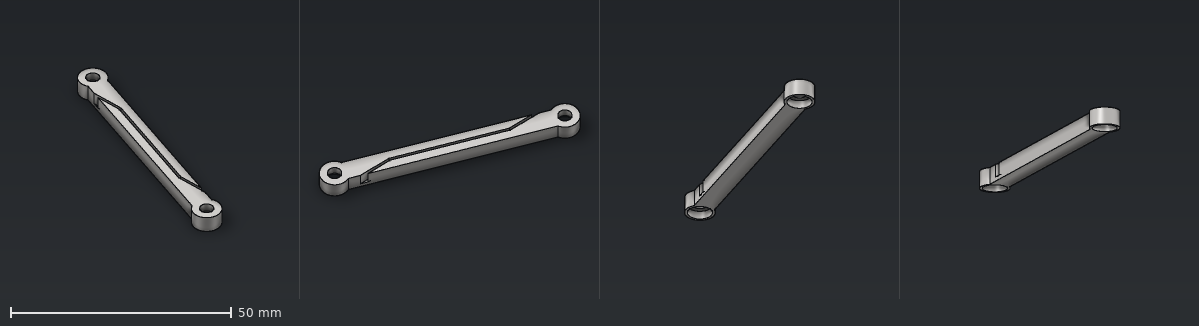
import cadquery as cq
import math

hole_spacing = 55.0
eye_diameter = 7.0
hole_diameter = 3.2
counterbore_diameter = 5.7
counterbore_depth = 2.0
bar_width = 5.0
thickness = 4.0

groove_width = 0.6
groove_depth = 3.0
groove_straight_length = 28.8
groove_ramp_angle = 20.0

hole_centers = [(-hole_spacing / 2, 0), (hole_spacing / 2, 0)]


def make_body():
    bar = cq.Workplane("XY").rect(hole_spacing, bar_width).extrude(thickness)
    eyes = cq.Workplane("XY").pushPoints(hole_centers).circle(eye_diameter / 2).extrude(thickness)
    return bar.union(eyes)


def make_holes():
    holes = cq.Workplane("XY").pushPoints(hole_centers).circle(hole_diameter / 2).extrude(thickness)
    counterbores = (
        cq.Workplane("XY")
        .pushPoints(hole_centers)
        .circle(counterbore_diameter / 2)
        .extrude(counterbore_depth)
    )
    return holes.union(counterbores)


def make_groove():
    bend_x = groove_straight_length / 2
    half_width = groove_width / 2
    slope = math.tan(math.radians(groove_ramp_angle))
    miter_shift = half_width * math.tan(math.radians(groove_ramp_angle / 2))
    end_y = bar_width / 2 + groove_width
    upper_run = (end_y - half_width) / slope
    lower_run = (end_y + half_width) / slope

    left_upper_x = -bend_x - miter_shift
    left_lower_x = -bend_x + miter_shift
    right_upper_x = bend_x - miter_shift
    right_lower_x = bend_x + miter_shift
    outline = [
        (left_upper_x - lower_run, -end_y),
        (left_upper_x, half_width),
        (right_upper_x, half_width),
        (right_upper_x + upper_run, end_y),
        (right_lower_x + lower_run, end_y),
        (right_lower_x, -half_width),
        (left_lower_x, -half_width),
        (left_lower_x - upper_run, -end_y),
    ]
    groove_floor = cq.Workplane("XY").workplane(offset=thickness - groove_depth)
    return groove_floor.polyline(outline).close().extrude(groove_depth)


result = make_body().cut(make_holes()).cut(make_groove())